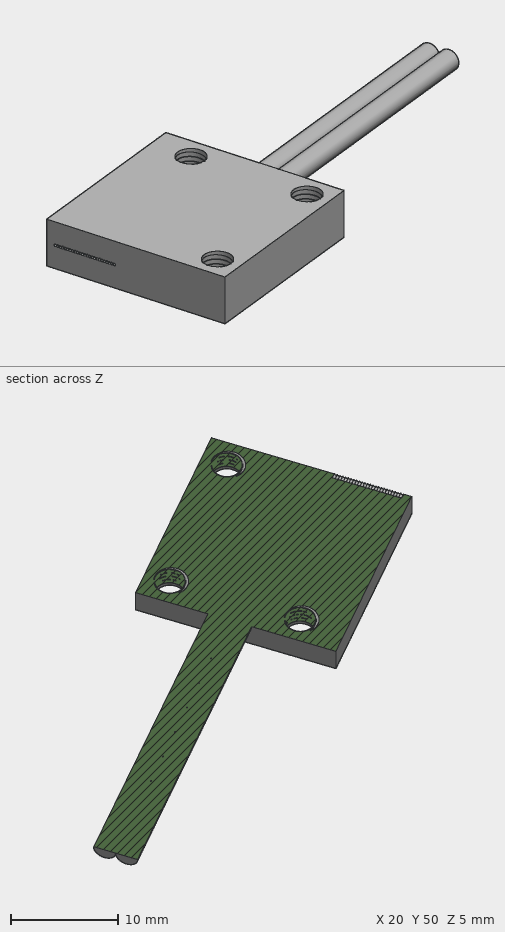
import cadquery as cq

head_side = 20.0
head_height = 5.0

cable_diameter = 2.2
cable_length = 30.0
cable_pair_x = 0.6

hole_diameter = 3.0
hole_edge_distance = 2.5
left_hole_edge_distance = 4.5
thread_pitch = 0.5
thread_end_margin = 0.25
groove_depth = 0.25
groove_mouth_width = 0.45
groove_overlap = 0.05

fiber_diameter = 0.265
fiber_pitch = 0.275
fiber_count = 25
fiber_row_edge_distance = 0.85
fiber_depth = 0.5

half_side = head_side / 2
hole_offset = half_side - hole_edge_distance
hole_centers = [
    (-half_side + left_hole_edge_distance, hole_offset),
    (hole_offset, hole_offset),
    (hole_offset, -hole_offset),
]


def make_head():
    return cq.Workplane("XY").box(head_side, head_side, head_height)


def make_cable(x):
    """Cable leaving the back face, with its axis at mid height."""
    back_face = cq.Workplane("XZ", origin=(x, half_side, 0))
    return back_face.circle(cable_diameter / 2).extrude(-cable_length)


def make_hole_cutter():
    """Through bore with a V-shaped helical thread groove in its wall."""
    bore_radius = hole_diameter / 2
    bore = cq.Workplane("XY").circle(bore_radius).extrude(head_height / 2, both=True)
    helix_height = head_height - 2 * thread_end_margin
    helix_start = -helix_height / 2
    helix = cq.Wire.makeHelix(thread_pitch, helix_height, bore_radius, center=cq.Vector(0, 0, helix_start))
    inner_radius = bore_radius - groove_overlap
    outer_radius = bore_radius + groove_depth
    profile = (
        cq.Workplane("XZ")
        .moveTo(inner_radius, helix_start - groove_mouth_width / 2)
        .lineTo(outer_radius, helix_start)
        .lineTo(inner_radius, helix_start + groove_mouth_width / 2)
        .close()
    )
    return bore.union(profile.sweep(cq.Workplane(helix), isFrenet=True))


def make_fiber_hole_cutters():
    """Row of shallow fiber holes in the front face, at mid height."""
    first_x = -half_side + fiber_row_edge_distance + fiber_diameter / 2
    centers = [(first_x + index * fiber_pitch, 0) for index in range(fiber_count)]
    front_face = cq.Workplane("XZ", origin=(0, -half_side, 0))
    return front_face.pushPoints(centers).circle(fiber_diameter / 2).extrude(-fiber_depth)


result = make_head()
for side in (-1, 1):
    result = result.union(make_cable(cable_pair_x + side * cable_diameter / 2))

hole_cutter = make_hole_cutter()
for x, y in hole_centers:
    result = result.cut(hole_cutter.translate((x, y, 0)))

result = result.cut(make_fiber_hole_cutters())